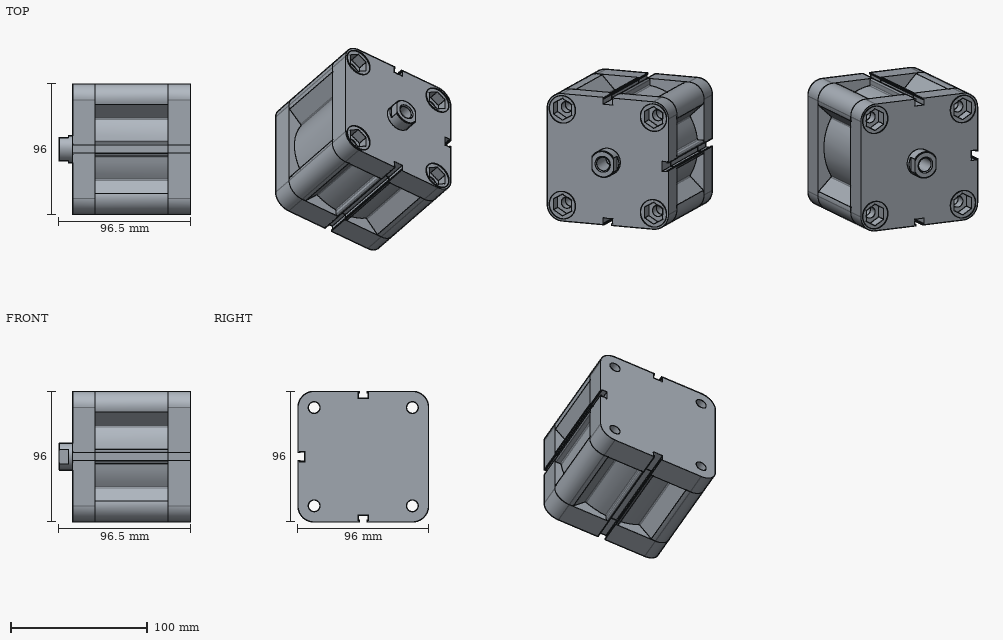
import cadquery as cq
import math

SECTION = 96.0
HALF = SECTION / 2
CORNER_RADIUS = 12.0
SCREW_OFFSET = HALF - CORNER_RADIUS

ROD_PROTRUSION = 9.9
CAP_LENGTH = 16.6
TOTAL_LENGTH = 96.5
FRONT_FACE = ROD_PROTRUSION
BARREL_START = FRONT_FACE + CAP_LENGTH
BARREL_END = TOTAL_LENGTH - CAP_LENGTH
BARREL_LENGTH = BARREL_END - BARREL_START

SLOT_MOUTH_WIDTH = 5.8
SLOT_WIDTH = 7.4
SLOT_DEPTH = 5.2
SLOT_LIP = 1.1
BARREL_SLOT_INSET = 0.4
BARREL_MOUTH_CHAMFER = 0.3

RAIL_WIDTH = 10.2
RAIL_ROUND = 1.1
RAIL_FOOT_FILLET = 0.9

TUBE_RADIUS = 43.1
RECESS_MOUTH_HALF = 32.6
RECESS_FLOOR_HALF = 22.5
RECESS_FILLET = 1.0

SCREW_HOLE_DIAMETER = 8.4
HEX_ACROSS_FLATS = 14.2
HEX_DEPTH = 8.2
HEAD_BORE_DIAMETER = 20.65
HEAD_RECESS = 0.7

ROD_DIAMETER = 20.0
ROD_CHAMFER = 0.5
FLATS_WIDTH = 17.0
FLATS_LENGTH = 6.85
THREAD_DIAMETER = 10.2
THREAD_DEPTH = 19.3
THREAD_MOUTH_CHAMFER = 0.9
DRILL_TIP_ANGLE = 118.0

SLOTTED_SIDES = (0, 90, 180)
ALL_SIDES = (0, 90, 180, 270)


def section_plane(x):
    """Plane across the X axis whose local axes are Y and Z."""
    return cq.Workplane("YZ", origin=(x, 0, 0))


def screw_points():
    """Screw centres, one on the axis of each rounded corner."""
    return [(y, z) for y in (-SCREW_OFFSET, SCREW_OFFSET) for z in (-SCREW_OFFSET, SCREW_OFFSET)]


def on_sides(solid, angles):
    """Copies of a solid made for the +Z side, turned about the X axis."""
    return [solid.rotate((0, 0, 0), (1, 0, 0), angle) for angle in angles]


def rounded_block(x, length):
    block = section_plane(x).rect(SECTION, SECTION).extrude(length)
    return block.edges("|X").fillet(CORNER_RADIUS)


def slot_cutter(x, length, inset):
    """T-slot on the +Z side, with its wide part shrunk all round by the inset."""
    floor_z = HALF - SLOT_DEPTH + inset
    lip_z = HALF - SLOT_LIP - inset
    mouth_half = SLOT_MOUTH_WIDTH / 2
    wide_half = SLOT_WIDTH / 2 - inset
    return (
        section_plane(x)
        .moveTo(-mouth_half, HALF)
        .lineTo(-mouth_half, lip_z)
        .lineTo(-wide_half, lip_z)
        .lineTo(-wide_half, floor_z)
        .lineTo(wide_half, floor_z)
        .lineTo(wide_half, lip_z)
        .lineTo(mouth_half, lip_z)
        .lineTo(mouth_half, HALF)
        .close()
        .extrude(length)
    )


def cut_slots_and_screw_holes(body, x, length, slot_inset):
    for slot in on_sides(slot_cutter(x, length, slot_inset), SLOTTED_SIDES):
        body = body.cut(slot)
    holes = (
        section_plane(x)
        .pushPoints(screw_points())
        .circle(SCREW_HOLE_DIAMETER / 2)
        .extrude(length)
    )
    return body.cut(holes)


def make_cap(x):
    return cut_slots_and_screw_holes(rounded_block(x, CAP_LENGTH), x, CAP_LENGTH, slot_inset=0)


def make_front_cap():
    cap = make_cap(FRONT_FACE)
    rod_bore = section_plane(FRONT_FACE).circle(ROD_DIAMETER / 2).extrude(CAP_LENGTH)
    socket_plane = cq.Plane(origin=(FRONT_FACE, 0, 0), xDir=(0, 0, 1), normal=(1, 0, 0))
    socket_diameter = HEX_ACROSS_FLATS / math.cos(math.pi / 6)
    sockets = (
        cq.Workplane(socket_plane)
        .pushPoints(screw_points())
        .polygon(6, socket_diameter)
        .extrude(HEAD_RECESS + HEX_DEPTH)
    )
    head_bores = (
        section_plane(FRONT_FACE)
        .pushPoints(screw_points())
        .circle(HEAD_BORE_DIAMETER / 2)
        .extrude(HEAD_RECESS)
    )
    return cap.cut(rod_bore).cut(sockets).cut(head_bores)


def recess_cutter():
    """Recess on the +Z side, from the tube surface out to the outer face, between two corner columns."""
    column_reach = SCREW_OFFSET - RECESS_MOUTH_HALF
    mouth_z = SCREW_OFFSET + math.sqrt(CORNER_RADIUS**2 - column_reach**2)
    floor_z = math.sqrt(TUBE_RADIUS**2 - RECESS_FLOOR_HALF**2)
    column_arc_mid = math.pi / 2 + math.asin(column_reach / CORNER_RADIUS) / 2
    arc_y = SCREW_OFFSET + CORNER_RADIUS * math.cos(column_arc_mid)
    arc_z = SCREW_OFFSET + CORNER_RADIUS * math.sin(column_arc_mid)
    recess = (
        section_plane(BARREL_START)
        .moveTo(-RECESS_FLOOR_HALF, floor_z)
        .threePointArc((0, TUBE_RADIUS), (RECESS_FLOOR_HALF, floor_z))
        .lineTo(RECESS_MOUTH_HALF, mouth_z)
        .threePointArc((arc_y, arc_z), (SCREW_OFFSET, HALF))
        .lineTo(-SCREW_OFFSET, HALF)
        .threePointArc((-arc_y, arc_z), (-RECESS_MOUTH_HALF, mouth_z))
        .close()
        .extrude(BARREL_LENGTH)
    )
    return recess.edges("|X").edges("<Z").fillet(RECESS_FILLET)


def rail_on_top():
    """Rail on the +Z side, standing on the tube with a fillet along each foot."""
    foot_y = RAIL_WIDTH / 2 + RAIL_FOOT_FILLET
    fillet_z = math.sqrt((TUBE_RADIUS + RAIL_FOOT_FILLET) ** 2 - foot_y**2)
    tube_angle = math.atan2(fillet_z, foot_y)
    touch_y = TUBE_RADIUS * math.cos(tube_angle)
    touch_z = TUBE_RADIUS * math.sin(tube_angle)
    mid_angle = math.pi + tube_angle / 2
    mid_y = foot_y + RAIL_FOOT_FILLET * math.cos(mid_angle)
    mid_z = fillet_z + RAIL_FOOT_FILLET * math.sin(mid_angle)
    root_z = HALF - 2 * SLOT_DEPTH
    rail = (
        section_plane(BARREL_START)
        .moveTo(-touch_y, root_z)
        .lineTo(touch_y, root_z)
        .lineTo(touch_y, touch_z)
        .threePointArc((mid_y, mid_z), (RAIL_WIDTH / 2, fillet_z))
        .lineTo(RAIL_WIDTH / 2, HALF)
        .lineTo(-RAIL_WIDTH / 2, HALF)
        .lineTo(-RAIL_WIDTH / 2, fillet_z)
        .threePointArc((-mid_y, mid_z), (-touch_y, touch_z))
        .close()
        .extrude(BARREL_LENGTH)
    )
    return rail.edges("|X and >Z").fillet(RAIL_ROUND)


def mouth_chamfer():
    """Wedge that chamfers both mouth edges of the barrel slot on the +Z side."""
    bottom_half = SLOT_MOUTH_WIDTH / 2
    top_half = bottom_half + BARREL_MOUTH_CHAMFER
    return (
        section_plane(BARREL_START)
        .moveTo(-bottom_half, HALF - BARREL_MOUTH_CHAMFER)
        .lineTo(bottom_half, HALF - BARREL_MOUTH_CHAMFER)
        .lineTo(top_half, HALF)
        .lineTo(-top_half, HALF)
        .close()
        .extrude(BARREL_LENGTH)
    )


def make_barrel():
    body = rounded_block(BARREL_START, BARREL_LENGTH)
    for recess in on_sides(recess_cutter(), ALL_SIDES):
        body = body.cut(recess)
    for side_rail in on_sides(rail_on_top(), SLOTTED_SIDES):
        body = body.union(side_rail)
    for chamfer in on_sides(mouth_chamfer(), SLOTTED_SIDES):
        body = body.cut(chamfer)
    return cut_slots_and_screw_holes(body, BARREL_START, BARREL_LENGTH, BARREL_SLOT_INSET)


def flats_cutter():
    """Two blocks that leave the wrench flats on the -Y and +Y sides of the rod."""
    block_width = ROD_DIAMETER - FLATS_WIDTH
    block_offset = (FLATS_WIDTH + block_width) / 2
    return (
        section_plane(0)
        .pushPoints([(-block_offset, 0), (block_offset, 0)])
        .rect(block_width, ROD_DIAMETER)
        .extrude(FLATS_LENGTH)
    )


def tapped_hole():
    """Blind hole with a chamfered mouth and a conical drill tip."""
    radius = THREAD_DIAMETER / 2
    tip_x = THREAD_DEPTH + radius / math.tan(math.radians(DRILL_TIP_ANGLE / 2))
    return (
        cq.Workplane("XY")
        .moveTo(0, 0)
        .lineTo(0, radius + THREAD_MOUTH_CHAMFER)
        .lineTo(THREAD_MOUTH_CHAMFER, radius)
        .lineTo(THREAD_DEPTH, radius)
        .lineTo(tip_x, 0)
        .close()
        .revolve(360, (0, 0, 0), (1, 0, 0))
    )


def make_rod():
    rod = section_plane(0).circle(ROD_DIAMETER / 2).extrude(BARREL_START)
    rod = rod.faces("<X").chamfer(ROD_CHAMFER)
    return rod.cut(flats_cutter()).cut(tapped_hole())


front_cap = make_front_cap()
barrel = make_barrel()
rear_cap = make_cap(BARREL_END)
piston_rod = make_rod()

result = cq.Compound.makeCompound(
    [front_cap.val(), barrel.val(), rear_cap.val(), piston_rod.val()]
)